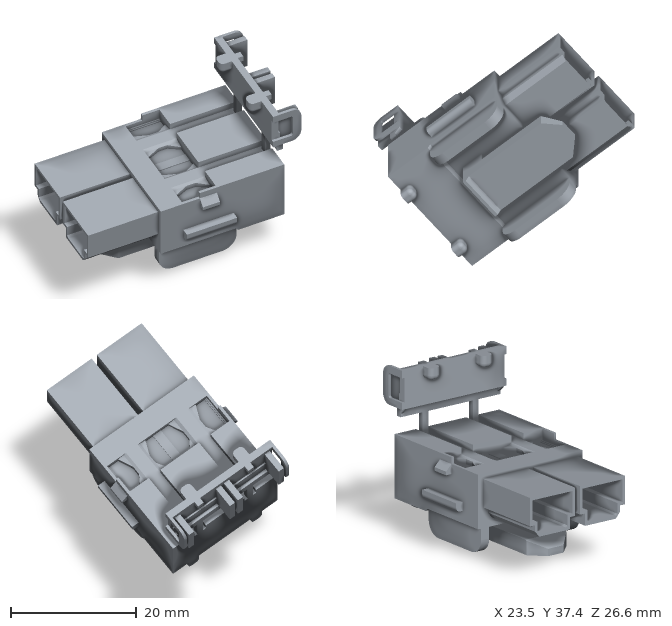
import cadquery as cq
import math


BODY_HALF_WIDTH = 10.45
BODY_LENGTH = 21.95
BODY_HEIGHT = 9.6
WALL = 0.5
FRONT_RELIEF_LENGTH = 13.28
PAD_HEIGHT = 1.12
WINDOW_FRONT = 4.0
WINDOW_BACK = 10.0
SIDE_WALL_FRONT = 6.95
GROOVE_CENTER = 5.0
GROOVE_HALF_WIDTH = 1.15

FLOOR_Z = 8.53
BEVEL_WIDTH = 0.5
MIDDLE_BEVEL_DROP = 0.35
OUTER_BEVEL_DROP = 0.22
RAMP_LENGTH = 1.5
RAMP_ANGLE = 10
OPENING_FRONT = 6.5
OPENING_BACK = 8.08
OPENING_FRONT_INSET = 1.1
OPENING_BACK_INSET = 1.25
STEP_HEIGHT = 0.15
STEP_WIDTH = 0.22
DIVIDER_HALF_WIDTH = 0.8

SHROUD_LENGTH = 12.4
SHROUD_INNER_X = 0.52
SHROUD_OUTER_X = 9.45
SHROUD_TOP = 8.75
SHROUD_SHOULDER = 4.0
SHROUD_BOTTOM = 1.95
SHROUD_SHOULDER_WIDTH = 1.0
SHROUD_CORNER_WIDTH = 0.82
SHROUD_CORNER_HEIGHT = 0.97
CAVITY_CHAMFER = 0.3

HOOK_REACH = 1.1
HOOK_BOTTOM = 7.93
HOOK_LIP = 0.6
RAIL_REACH = 1.3
RAIL_BACK = 12.95
RAIL_BOTTOM = 2.55
RAIL_HEIGHT = 1.5
RAIL_RADIUS = 0.75

LEG_INNER_X = 8.2
LEG_OUTER_X = 9.85
LEG_BOTTOM = -4.0
LEG_RADIUS = 2.55
LATCH_HALF_WIDTH = 3.95
LATCH_TOP = -1.45
LATCH_FRONT = -6.7
LATCH_BACK = 11.8
LATCH_SLOPE_START = -4.0
LATCH_TAPER_START = -4.25
LATCH_TIP_HALF_WIDTH = 1.55
LATCH_TIP_TOP = -2.75
LATCH_ARM_WIDTH = 1.12
LATCH_ARM_LENGTH = 3.75
CATCH_DEPTH = 0.8
CATCH_LENGTH = 1.15
CATCH_FLAT = 0.52
NOTCH_HALF_WIDTH = 0.67
NOTCH_TOP = 1.5
NOTCH_DEPTH = 1.87

COVER_FRONT = 19.97
COVER_BACK = 21.15
COVER_BOTTOM = 15.25
COVER_TOP = 21.8
COVER_STEP_TOP = 17.5
COVER_STEP_BACK = 21.43
LIP_FRONT = 20.95
LIP_BOTTOM = 13.7
GUSSET_WIDTH = 0.65
STRUT_WIDTH = 1.12
STRUT_CAP_BACK = 22.15
STRUT_CAP_HEIGHT = 1.0
END_PLATE_BACK = 25.0
END_PLATE_RADIUS = 1.7
END_WINDOW_BACK = 23.5
END_WINDOW_BOTTOM = 16.4
END_WINDOW_TOP = 20.55
END_WINDOW_RADIUS = 0.35
RIB_BACK = 24.87
RIB_WIDTH = 1.0
RIB_INNER_X = 0.3
RIB_TOP = 20.9

BOTTOM_PEG_WIDTH = 2.05
COVER_PEG_WIDTH = 2.15
PEG_DEPTH = 2.0
PEG_HEIGHT = 2.05
PEG_SIDE_RADIUS = 0.8
PEG_BOTTOM_RADIUS = 0.75
BOTTOM_PEG_X = 6.3
COVER_PEG_X = 5.25


def block(x0, x1, y0, y1, z0, z1):
    return cq.Workplane("XY").box(x1 - x0, y1 - y0, z1 - z0, centered=False).translate((x0, y0, z0))


def prism_along_x(points, x0, x1):
    """Extrude a (Y, Z) outline from x0 to x1."""
    return cq.Workplane("YZ", origin=(x0, 0, 0)).polyline(points).close().extrude(x1 - x0)


def prism_along_y(points, y0, y1):
    """Extrude an (X, Z) outline from y0 to y1."""
    return cq.Workplane("XZ", origin=(0, y0, 0)).polyline(points).close().extrude(y0 - y1)


def both_sides(solid):
    return solid.union(solid.mirror("YZ"))


def housing():
    side = [
        (0, WALL), (FRONT_RELIEF_LENGTH, WALL), (FRONT_RELIEF_LENGTH + WALL, 0),
        (BODY_LENGTH, 0), (BODY_LENGTH, BODY_HEIGHT), (0, BODY_HEIGHT),
    ]
    body = prism_along_x(side, -BODY_HALF_WIDTH, BODY_HALF_WIDTH)
    pad_top = BODY_HEIGHT + PAD_HEIGHT
    middle_edge = GROOVE_CENTER - GROOVE_HALF_WIDTH
    outer_edge = GROOVE_CENTER + GROOVE_HALF_WIDTH
    body = body.union(block(-middle_edge, middle_edge, WINDOW_BACK, BODY_LENGTH, BODY_HEIGHT, pad_top))
    outer_pad = block(outer_edge, BODY_HALF_WIDTH, WINDOW_BACK, BODY_LENGTH, BODY_HEIGHT, pad_top)
    side_wall = block(BODY_HALF_WIDTH - WALL, BODY_HALF_WIDTH, SIDE_WALL_FRONT, WINDOW_BACK,
                      BODY_HEIGHT, pad_top)
    return body.union(both_sides(outer_pad.union(side_wall)))


def window(edge_x, far_x, bevel_drop):
    """Bevelled window running from its edge beside a groove to far_x."""
    inward = math.copysign(1, far_x - edge_x)
    ramp_x = edge_x + inward * BEVEL_WIDTH
    ramp_end_x = ramp_x + inward * RAMP_LENGTH
    ramp_z = BODY_HEIGHT - bevel_drop
    ramp_drop = RAMP_LENGTH * math.tan(math.radians(RAMP_ANGLE))
    bevel = prism_along_y(
        [
            (edge_x, BODY_HEIGHT), (ramp_x, ramp_z),
            (ramp_end_x, ramp_z - ramp_drop), (ramp_end_x, BODY_HEIGHT),
        ],
        WINDOW_FRONT, WINDOW_BACK,
    )
    opening = (
        cq.Workplane("XY", origin=(0, 0, FLOOR_Z))
        .polyline([
            (far_x, WINDOW_FRONT), (ramp_x + inward * OPENING_FRONT_INSET, WINDOW_FRONT),
            (ramp_x, OPENING_FRONT), (ramp_x, OPENING_BACK),
            (ramp_x + inward * OPENING_BACK_INSET, WINDOW_BACK), (far_x, WINDOW_BACK),
        ])
        .close()
        .extrude(BODY_HEIGHT - FLOOR_Z)
    )
    return bevel.union(opening)


def window_steps():
    """Low ledges left on the window floors: a middle divider and two steps at each side wall."""
    wall_x = BODY_HALF_WIDTH - WALL
    step_top = FLOOR_Z + STEP_HEIGHT
    steps = block(-DIVIDER_HALF_WIDTH, DIVIDER_HALF_WIDTH, WINDOW_FRONT, WINDOW_BACK, FLOOR_Z, step_top)
    for width, height in ((2 * STEP_WIDTH, STEP_HEIGHT), (STEP_WIDTH, 2 * STEP_HEIGHT)):
        ledge = block(wall_x - width, wall_x, WINDOW_FRONT, WINDOW_BACK, FLOOR_Z, FLOOR_Z + height)
        steps = steps.union(both_sides(ledge))
    return steps


def shroud():
    low_inner_x = SHROUD_INNER_X + SHROUD_SHOULDER_WIDTH
    low_outer_x = SHROUD_OUTER_X - SHROUD_SHOULDER_WIDTH
    outside = [
        (SHROUD_INNER_X, SHROUD_TOP), (SHROUD_OUTER_X, SHROUD_TOP),
        (SHROUD_OUTER_X, SHROUD_SHOULDER), (low_outer_x, SHROUD_SHOULDER),
        (low_outer_x, SHROUD_BOTTOM + SHROUD_CORNER_HEIGHT),
        (low_outer_x - SHROUD_CORNER_WIDTH, SHROUD_BOTTOM),
        (low_inner_x, SHROUD_BOTTOM), (low_inner_x, SHROUD_SHOULDER), (SHROUD_INNER_X, SHROUD_SHOULDER),
    ]
    top = SHROUD_TOP - WALL
    shoulder = SHROUD_SHOULDER + WALL
    floor = SHROUD_BOTTOM + WALL
    left = low_inner_x + WALL
    right = low_outer_x - WALL
    inside = [
        (SHROUD_INNER_X + WALL, top), (SHROUD_OUTER_X - WALL, top),
        (SHROUD_OUTER_X - WALL, shoulder), (right, shoulder),
        (right, floor + CAVITY_CHAMFER), (right - CAVITY_CHAMFER, floor),
        (left + CAVITY_CHAMFER, floor), (left, floor + CAVITY_CHAMFER),
        (left, shoulder), (SHROUD_INNER_X + WALL, shoulder),
    ]
    return prism_along_y(outside, -SHROUD_LENGTH, 0).cut(prism_along_y(inside, -SHROUD_LENGTH, 0))


def side_hook():
    outer_x = BODY_HALF_WIDTH + HOOK_REACH
    profile = [
        (BODY_HALF_WIDTH, HOOK_BOTTOM), (outer_x, HOOK_BOTTOM),
        (outer_x, HOOK_BOTTOM + HOOK_LIP), (BODY_HALF_WIDTH, BODY_HEIGHT),
    ]
    return prism_along_y(profile, SIDE_WALL_FRONT, WINDOW_BACK)


def side_rail():
    rail = block(BODY_HALF_WIDTH, BODY_HALF_WIDTH + RAIL_REACH, WINDOW_FRONT, RAIL_BACK,
                 RAIL_BOTTOM, RAIL_BOTTOM + RAIL_HEIGHT)
    return rail.edges("|Y and >X and <Z").fillet(RAIL_RADIUS)


def leg():
    plate = block(LEG_INNER_X, LEG_OUTER_X, 0, FRONT_RELIEF_LENGTH + WALL, LEG_BOTTOM, WALL)
    return plate.edges("|X and <Z").fillet(LEG_RADIUS)


def latch():
    """Latch bar with a tapered front tip, hung on two arms and carrying a catch below its rear end."""
    side = [
        (LATCH_BACK, LEG_BOTTOM), (LATCH_BACK, LATCH_TOP), (LATCH_SLOPE_START, LATCH_TOP),
        (LATCH_FRONT, LATCH_TIP_TOP), (LATCH_FRONT, LEG_BOTTOM),
    ]
    half_plan = [
        (0, LATCH_BACK), (LATCH_HALF_WIDTH, LATCH_BACK), (LATCH_HALF_WIDTH, LATCH_TAPER_START),
        (LATCH_TIP_HALF_WIDTH, LATCH_FRONT), (0, LATCH_FRONT),
    ]
    plan = (
        cq.Workplane("XY", origin=(0, 0, LEG_BOTTOM))
        .polyline(half_plan)
        .close()
        .extrude(LATCH_TOP - LEG_BOTTOM)
    )
    bar = prism_along_x(side, -LATCH_HALF_WIDTH, LATCH_HALF_WIDTH).intersect(both_sides(plan))
    catch_bottom = LEG_BOTTOM - CATCH_DEPTH
    catch = prism_along_x(
        [
            (LATCH_BACK, LEG_BOTTOM), (LATCH_BACK, catch_bottom),
            (LATCH_BACK - CATCH_FLAT, catch_bottom), (LATCH_BACK - CATCH_LENGTH, LEG_BOTTOM),
        ],
        -LATCH_HALF_WIDTH, LATCH_HALF_WIDTH,
    )
    arm = block(LATCH_HALF_WIDTH - LATCH_ARM_WIDTH, LATCH_HALF_WIDTH,
                LATCH_BACK - LATCH_ARM_LENGTH, LATCH_BACK, LATCH_TOP, WALL)
    return bar.union(catch).union(both_sides(arm))


def front_notch():
    """Notch under the front face; its +X half is a slanted side."""
    return (
        cq.Workplane("XY", origin=(0, 0, WALL))
        .polyline([
            (-NOTCH_HALF_WIDTH, 0), (NOTCH_HALF_WIDTH, 0),
            (0, NOTCH_DEPTH), (-NOTCH_HALF_WIDTH, NOTCH_DEPTH),
        ])
        .close()
        .extrude(NOTCH_TOP - WALL)
    )


def peg(center_x, back_y, top_z, width):
    """Peg with a flat back and top and rounded front, sides and bottom."""
    body = block(center_x - width / 2, center_x + width / 2, back_y - PEG_DEPTH, back_y,
                 top_z - PEG_HEIGHT, top_z)
    body = body.edges("|Z and <Y").fillet(PEG_SIDE_RADIUS)
    return body.faces("<Z").edges("not(>Y)").fillet(PEG_BOTTOM_RADIUS)


def end_plate():
    """C-shaped plate closing one end of the cover."""
    outer_x = BODY_HALF_WIDTH
    plate = block(outer_x - WALL, outer_x, COVER_FRONT, END_PLATE_BACK, COVER_BOTTOM, COVER_TOP)
    return plate.edges("|X and >Y").fillet(END_PLATE_RADIUS)


def end_window():
    cutter = block(BODY_HALF_WIDTH - WALL, BODY_HALF_WIDTH, COVER_FRONT, END_WINDOW_BACK,
                   END_WINDOW_BOTTOM, END_WINDOW_TOP)
    return cutter.edges("|X and >Y").fillet(END_WINDOW_RADIUS)


def cover():
    lip_half_width = BODY_HALF_WIDTH - WALL
    plate = block(-BODY_HALF_WIDTH, BODY_HALF_WIDTH, COVER_FRONT, COVER_BACK, COVER_BOTTOM, COVER_TOP)
    step = block(-lip_half_width, lip_half_width, COVER_BACK, COVER_STEP_BACK, COVER_BOTTOM, COVER_STEP_TOP)
    lip = block(-lip_half_width, lip_half_width, LIP_FRONT, BODY_LENGTH, LIP_BOTTOM, COVER_BOTTOM)
    gusset_size = LIP_FRONT - COVER_FRONT
    gusset = prism_along_x(
        [(COVER_FRONT, COVER_BOTTOM), (LIP_FRONT, COVER_BOTTOM), (LIP_FRONT, COVER_BOTTOM - gusset_size)],
        lip_half_width - GUSSET_WIDTH, lip_half_width,
    )
    strut_x0 = GROOVE_CENTER - STRUT_WIDTH / 2
    strut_x1 = GROOVE_CENTER + STRUT_WIDTH / 2
    strut = block(strut_x0, strut_x1, LIP_FRONT, BODY_LENGTH, BODY_HEIGHT, LIP_BOTTOM)
    cap = block(strut_x0, strut_x1, COVER_BACK, STRUT_CAP_BACK, COVER_TOP - STRUT_CAP_HEIGHT, COVER_TOP)
    details = end_plate().union(gusset).union(strut).union(cap)
    for rib_x in (RIB_INNER_X, SHROUD_OUTER_X - RIB_WIDTH):
        details = details.union(block(rib_x, rib_x + RIB_WIDTH, COVER_BACK, RIB_BACK, COVER_BOTTOM, RIB_TOP))
    details = details.union(peg(COVER_PEG_X, COVER_FRONT, COVER_TOP, COVER_PEG_WIDTH))
    frame = plate.union(step).union(lip).union(both_sides(details))
    return frame.cut(both_sides(end_window()))


middle_window = window(GROOVE_CENTER - GROOVE_HALF_WIDTH, 0, MIDDLE_BEVEL_DROP)
outer_window = window(GROOVE_CENTER + GROOVE_HALF_WIDTH, BODY_HALF_WIDTH - WALL, OUTER_BEVEL_DROP)

result = housing().cut(both_sides(middle_window)).cut(both_sides(outer_window)).cut(front_notch())
result = result.union(window_steps())
bottom_peg = peg(BOTTOM_PEG_X, BODY_LENGTH, 0, BOTTOM_PEG_WIDTH)
for feature in (shroud(), side_hook(), side_rail(), leg(), bottom_peg):
    result = result.union(both_sides(feature))
result = result.union(latch()).union(cover())